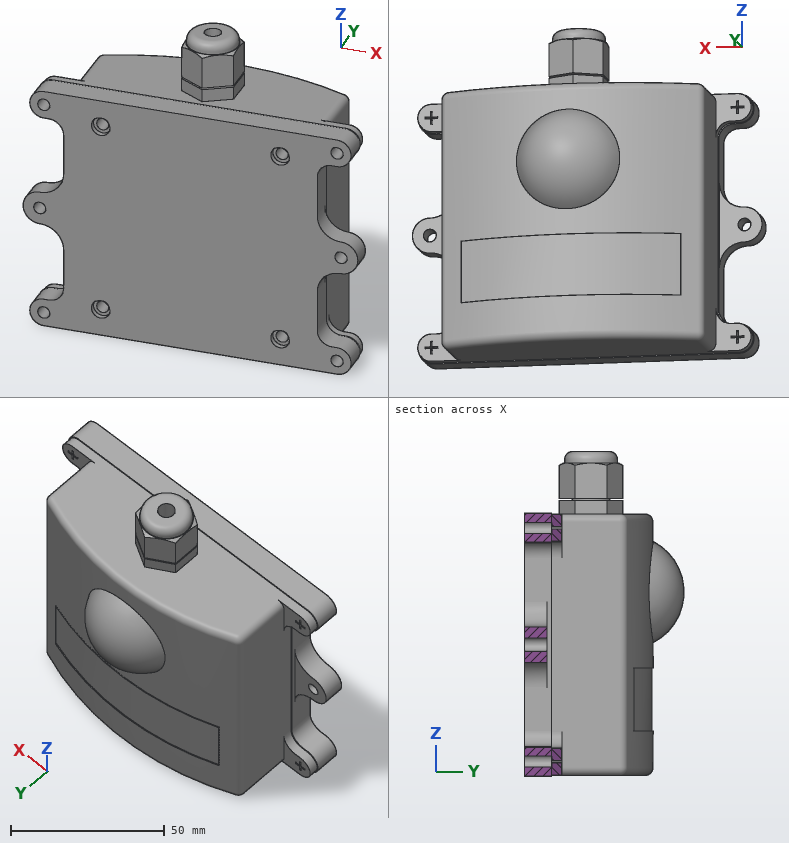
import cadquery as cq
import math

PLATE_HEIGHT = 86.0
PLATE_HALF_WIDTH = 44.0
PLATE_THICKNESS = 8.8
CORNER_EAR_TIP = 55.7
CORNER_EAR_RADIUS = 4.9
CORNER_EAR_FILLET = 5.1
MIDDLE_EAR_TIP = 58.0
MIDDLE_EAR_RADIUS = 5.8
MIDDLE_EAR_FILLET = 8.1
MIDDLE_EAR_THICKNESS = 7.4
EAR_HOLE_DIAMETER = 4.2
MOUNT_X = 31.1
MOUNT_Z = 33.5
MOUNT_HOLE_DIAMETER = 4.2
MOUNT_BORE_DIAMETER = 6.4
MOUNT_BORE_DEPTH = 2.0

COVER_INSET = 0.3
COVER_EAR_THICKNESS = 3.4
COVER_PEAK = 42.0
ARCH_RADIUS = 109.0
COVER_ROUND = 2.5
SLOT_WIDTH = 0.6
SLOT_LENGTH = EAR_HOLE_DIAMETER

LABEL_WIDTH = 72.8
LABEL_BOTTOM = -28.1
LABEL_TOP = -7.7
LABEL_DEPTH = 0.3

DOME_RADIUS = 18.6
DOME_PEAK = 52.1
DOME_Z = 17.2

GLAND_Y = 21.7
HEX_FLATS = 18.0
FITTING_HEX_HEIGHT = 4.4
NECK_DIAMETER = 12.3
NECK_HEIGHT = 0.6
NUT_HEX_HEIGHT = 11.7
NUT_CHAMFER_HEIGHT = 0.8
NUT_CHAMFER_START = 17.6
NUT_CAP_DIAMETER = 17.3
NUT_CAP_HEIGHT = 3.7
NUT_CAP_ROUND = 2.7
CABLE_DIAMETER = 5.7

COVER_HALF_HEIGHT = PLATE_HEIGHT / 2 - COVER_INSET
COVER_HALF_WIDTH = PLATE_HALF_WIDTH - COVER_INSET
EAR_TOP = PLATE_THICKNESS + COVER_EAR_THICKNESS
EAR_X = CORNER_EAR_TIP - CORNER_EAR_RADIUS
EAR_Z = PLATE_HEIGHT / 2 - CORNER_EAR_RADIUS
MIDDLE_EAR_X = MIDDLE_EAR_TIP - MIDDLE_EAR_RADIUS
ARCH_CENTER_Y = COVER_PEAK - ARCH_RADIUS
CORNERS = [(sx, sz) for sx in (-1, 1) for sz in (-1, 1)]
HEX_CORNERS = HEX_FLATS / math.cos(math.pi / 6)


def block(x_range, y_range, z_range):
    """Box between the given limits."""
    size = [high - low for low, high in (x_range, y_range, z_range)]
    return cq.Workplane("XY").box(*size, centered=False).translate((x_range[0], y_range[0], z_range[0]))


def rods(points, diameter, y_start, y_end):
    """Cylinders along Y at the given (x, z) points."""
    plane = cq.Workplane("XZ", origin=(0, y_start, 0))
    return plane.pushPoints(points).circle(diameter / 2).extrude(y_start - y_end)


def mirrored(shape):
    """The shape together with its mirror image across X = 0."""
    return shape.union(shape.mirror("YZ"))


def ear(center, radius, wall_x, fillet, y_start, y_end, fillet_sides):
    """Round-ended ear on the +X side, blended into the wall at wall_x on the given Z sides."""
    x, z = center
    inner_x = wall_x - 1.2
    shape = rods([(x, z)], radius * 2, y_start, y_end)
    shape = shape.union(block((inner_x, x), (y_start, y_end), (z - radius, z + radius)))
    for side in fillet_sides:
        edge = z + side * radius
        blend_end = edge + side * fillet
        web = block((inner_x, wall_x + fillet), (y_start, y_end), sorted((edge, blend_end)))
        web = web.cut(rods([(wall_x + fillet, blend_end)], fillet * 2, y_start, y_end))
        shape = shape.union(web)
    return shape


def corner_ears(radius, wall_x, y_start, y_end):
    """Four corner ears, each blended on the side that faces the middle."""
    ears = None
    for side in (-1, 1):
        pair = mirrored(ear((EAR_X, side * EAR_Z), radius, wall_x, CORNER_EAR_FILLET, y_start, y_end, [-side]))
        ears = pair if ears is None else ears.union(pair)
    return ears


def make_plate():
    half_height = PLATE_HEIGHT / 2
    body = block((-PLATE_HALF_WIDTH, PLATE_HALF_WIDTH), (0, PLATE_THICKNESS), (-half_height, half_height))
    body = body.union(corner_ears(CORNER_EAR_RADIUS, PLATE_HALF_WIDTH, 0, PLATE_THICKNESS))
    middle_ear = ear((MIDDLE_EAR_X, 0), MIDDLE_EAR_RADIUS, PLATE_HALF_WIDTH, MIDDLE_EAR_FILLET,
                     0, MIDDLE_EAR_THICKNESS, [-1, 1])
    body = body.union(mirrored(middle_ear))

    ear_points = [(sx * EAR_X, sz * EAR_Z) for sx, sz in CORNERS]
    ear_points += [(-MIDDLE_EAR_X, 0), (MIDDLE_EAR_X, 0)]
    mount_points = [(sx * MOUNT_X, sz * MOUNT_Z) for sx, sz in CORNERS]
    body = body.cut(rods(ear_points, EAR_HOLE_DIAMETER, 0, PLATE_THICKNESS))
    body = body.cut(rods(mount_points, MOUNT_HOLE_DIAMETER, 0, PLATE_THICKNESS))
    return body.cut(rods(mount_points, MOUNT_BORE_DIAMETER, 0, MOUNT_BORE_DEPTH))


def make_arched_box():
    """Solid box under the arch, rounded along every edge except those against the plate."""
    shoulder = ARCH_CENTER_Y + math.sqrt(ARCH_RADIUS ** 2 - COVER_HALF_WIDTH ** 2)
    return (
        cq.Workplane("XY")
        .workplane(offset=-COVER_HALF_HEIGHT)
        .moveTo(-COVER_HALF_WIDTH, PLATE_THICKNESS)
        .lineTo(COVER_HALF_WIDTH, PLATE_THICKNESS)
        .lineTo(COVER_HALF_WIDTH, shoulder)
        .threePointArc((0, COVER_PEAK), (-COVER_HALF_WIDTH, shoulder))
        .close()
        .extrude(2 * COVER_HALF_HEIGHT)
        .edges("not <Y")
        .fillet(COVER_ROUND)
    )


def make_label_recess():
    """Shallow recess that follows the arch."""
    height = LABEL_TOP - LABEL_BOTTOM
    half_width = LABEL_WIDTH / 2
    band = block((-half_width, half_width), (PLATE_THICKNESS, COVER_PEAK), (LABEL_BOTTOM, LABEL_TOP))
    floor = (
        cq.Workplane("XY")
        .workplane(offset=LABEL_BOTTOM)
        .center(0, ARCH_CENTER_Y)
        .circle(ARCH_RADIUS - LABEL_DEPTH)
        .extrude(height)
    )
    return band.cut(floor)


def make_cover():
    body = make_arched_box()
    for side in (-1, 1):
        strip = block((-EAR_X, EAR_X), (PLATE_THICKNESS, EAR_TOP),
                      sorted((side * COVER_HALF_HEIGHT, side * (EAR_Z - CORNER_EAR_RADIUS + COVER_INSET))))
        body = body.union(strip)
    ears = corner_ears(CORNER_EAR_RADIUS - COVER_INSET, COVER_HALF_WIDTH, PLATE_THICKNESS, EAR_TOP)
    body = body.union(ears).cut(make_label_recess())
    ear_points = [(sx * EAR_X, sz * EAR_Z) for sx, sz in CORNERS]
    for length, width in ((SLOT_LENGTH, SLOT_WIDTH), (SLOT_WIDTH, SLOT_LENGTH)):
        slots = cq.Workplane("XZ", origin=(0, PLATE_THICKNESS, 0)).pushPoints(ear_points).rect(length, width)
        body = body.cut(slots.extrude(-COVER_EAR_THICKNESS))
    return body


def make_dome():
    """Cap of a ball, cut off along the arched face."""
    ball = cq.Workplane("XY").sphere(DOME_RADIUS).translate((0, DOME_PEAK - DOME_RADIUS, DOME_Z))
    arch = (
        cq.Workplane("XY")
        .workplane(offset=-COVER_HALF_HEIGHT)
        .center(0, ARCH_CENTER_Y)
        .circle(ARCH_RADIUS)
        .extrude(2 * COVER_HALF_HEIGHT)
    )
    return ball.cut(arch)


def gland_plane(z):
    """Horizontal plane on the gland's axis, with local x along Y so that hexagon corners point along Y."""
    return cq.Workplane(cq.Plane((0, GLAND_Y, z), (0, 1, 0), (0, 0, 1)))


def make_gland_fitting():
    return (
        gland_plane(COVER_HALF_HEIGHT)
        .polygon(6, HEX_CORNERS)
        .extrude(FITTING_HEX_HEIGHT)
        .faces(">Z")
        .workplane()
        .circle(NECK_DIAMETER / 2)
        .extrude(NECK_HEIGHT)
        .faces(">Z")
        .workplane()
        .hole(CABLE_DIAMETER)
    )


def make_gland_nut():
    bottom = COVER_HALF_HEIGHT + FITTING_HEX_HEIGHT + NECK_HEIGHT
    hexagon = gland_plane(bottom).polygon(6, HEX_CORNERS).extrude(NUT_HEX_HEIGHT)
    blank = (
        cq.Workplane("XZ", origin=(0, GLAND_Y, bottom))
        .moveTo(0, 0)
        .lineTo(HEX_CORNERS / 2, 0)
        .lineTo(HEX_CORNERS / 2, NUT_HEX_HEIGHT - NUT_CHAMFER_HEIGHT)
        .lineTo(NUT_CHAMFER_START / 2, NUT_HEX_HEIGHT)
        .lineTo(0, NUT_HEX_HEIGHT)
        .close()
        .revolve(360, (0, 0, 0), (0, 1, 0))
    )
    cap = (
        gland_plane(bottom + NUT_HEX_HEIGHT)
        .circle(NUT_CAP_DIAMETER / 2)
        .extrude(NUT_CAP_HEIGHT)
        .faces(">Z")
        .edges()
        .fillet(NUT_CAP_ROUND)
    )
    nut = hexagon.intersect(blank).union(cap)
    return nut.cut(gland_plane(bottom).circle(CABLE_DIAMETER / 2).extrude(NUT_HEX_HEIGHT + NUT_CAP_HEIGHT))


plate = make_plate()
cover = make_cover()
dome = make_dome()
gland_fitting = make_gland_fitting()
gland_nut = make_gland_nut()

result = cq.Compound.makeCompound([
    plate.val(),
    cover.val(),
    dome.val(),
    gland_fitting.val(),
    gland_nut.val(),
])